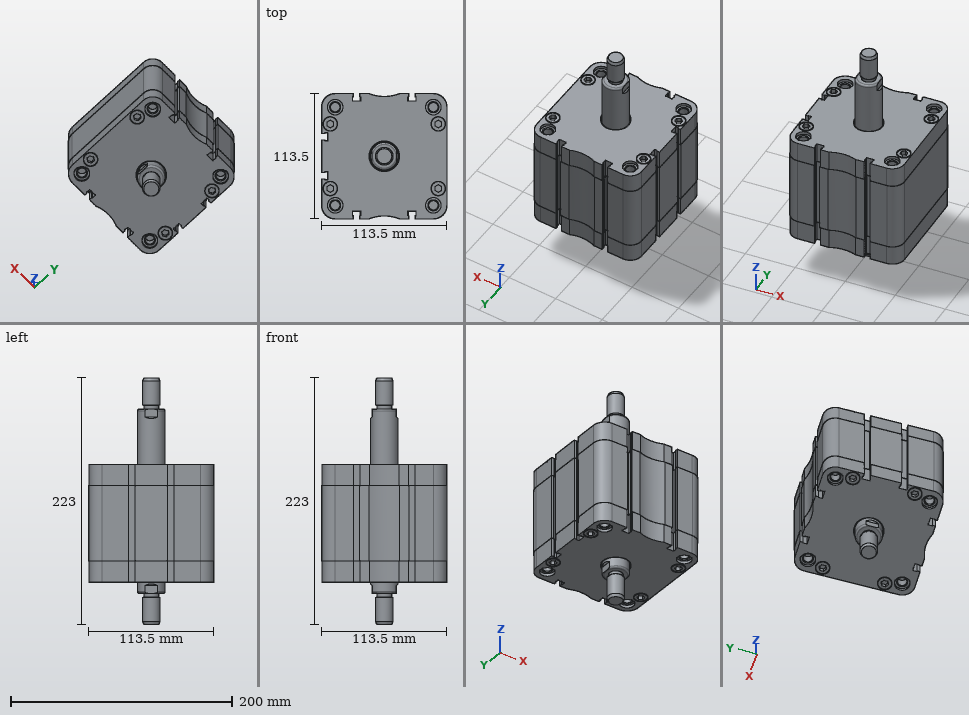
import cadquery as cq
import math


barrel_side = 113.5
cover_side = 113.0
corner_radius = 12.0
cover_height = 19.5
barrel_height = 68.0
housing_height = barrel_height + 2 * cover_height

slot_lip = 3.0
slot_undercut = 0.7
y_side_slot_far = 27.9
y_side_slot_near = 21.9
y_side_slot_floor = 49.7
x_side_slot_far = 20.5
x_side_slot_near = 14.5
x_side_slot_floor = 50.8
barrel_y_slot_inset = 0.7
barrel_x_slot_inset = 0.2
barrel_floor_step = 0.5

hollow_depth = 2.7
cover_hollow_width = 26.3
barrel_hollow_width = 27.7

mount_offset = 44.4
mount_bore_diameter = 14.0
mount_bore_depth = 3.0
mount_mouth_diameter = 10.0
mount_thread_diameter = 8.5
mount_thread_depth = 10.0
mount_mouth_depth = (mount_mouth_diameter - mount_thread_diameter) / 2

screw_x = 48.8
screw_y = 29.2
screw_ring_outer_diameter = 13.2
screw_ring_inner_diameter = 12.5
screw_ring_depth = 0.7
socket_width = 6.0
socket_depth = 4.0

passage_diameter = 25.6
recess_diameter = 27.0
recess_depth = 1.5
recess_mouth_diameter = 27.7
recess_mouth_depth = 0.5

rod_diameter = 25.0
upper_reach = 50.0
stud_length = 28.0
overall_length = 223
lower_reach = overall_length - housing_height - upper_reach - 2 * stud_length
shoulder_radius = 1.8
stud_diameter = 16.0
stud_core_diameter = 13.5
stud_tip_length = 3.0
neck_length = 3.8
neck_taper = 0.7
wrench_width = 22.0
wrench_length = 7.1


def four_places(x, y):
    return [(x, y), (-x, y), (-x, -y), (x, -y)]


def disc(diameter, height):
    return cq.Workplane("XY").circle(diameter / 2).extrude(height)


def t_slot(near, far, floor, side, height):
    """Cutter for a slot in the +Y side, its opening lying between x = near and x = far."""
    outer = side / 2
    shoulder = outer - slot_lip
    wide_near = near - slot_undercut
    wide_far = far + slot_undercut
    return (
        cq.Workplane("XY")
        .polyline([
            (near, outer), (near, shoulder), (wide_near, shoulder), (wide_near, floor),
            (wide_far, floor), (wide_far, shoulder), (far, shoulder), (far, outer),
        ])
        .close()
        .extrude(height)
    )


def hollow(width, side, height):
    """Cutter for the shallow hollow in the +Y side."""
    return (
        cq.Workplane("XY")
        .moveTo(-width / 2, side / 2)
        .threePointArc((0, side / 2 - hollow_depth), (width / 2, side / 2))
        .close()
        .extrude(height)
    )


def profile_block(side, height, hollow_width, y_slot_inset=0, x_slot_inset=0, floor_step=0):
    """Rounded block with the slots and hollows along its whole height."""
    block = cq.Workplane("XY").rect(side, side).extrude(height).edges("|Z").fillet(corner_radius)

    y_slot = t_slot(
        y_side_slot_near + y_slot_inset, y_side_slot_far, y_side_slot_floor + floor_step, side, height
    )
    front_and_back = y_slot.union(y_slot.mirror("YZ")).union(hollow(hollow_width, side, height))
    block = block.cut(front_and_back).cut(front_and_back.mirror("XZ"))

    x_slot = t_slot(
        x_side_slot_near + x_slot_inset, x_side_slot_far, x_side_slot_floor + floor_step, side, height
    ).rotate((0, 0, 0), (0, 0, 1), 90)
    return block.cut(x_slot).cut(x_slot.mirror("XZ"))


def make_barrel():
    """Barrel with its lower face on z = 0."""
    barrel = profile_block(
        barrel_side, barrel_height, barrel_hollow_width,
        barrel_y_slot_inset, barrel_x_slot_inset, barrel_floor_step,
    )
    return barrel.cut(disc(rod_diameter, barrel_height))


def rod_passage():
    """Cutter for the rod's way through a cover whose outer face is z = 0."""
    mouth = cq.Workplane(
        cq.Solid.makeCone(
            recess_mouth_diameter / 2, recess_diameter / 2, recess_mouth_depth, dir=cq.Vector(0, 0, -1)
        )
    )
    return disc(passage_diameter, -cover_height).union(disc(recess_diameter, -recess_depth)).union(mouth)


def mounting_hole():
    """Cutter for a counterbored, chamfered thread hole below z = 0."""
    bore = disc(mount_bore_diameter, -mount_bore_depth)
    mouth = cq.Workplane(
        cq.Solid.makeCone(
            mount_mouth_diameter / 2, mount_thread_diameter / 2, mount_mouth_depth,
            pnt=cq.Vector(0, 0, -mount_bore_depth), dir=cq.Vector(0, 0, -1),
        )
    )
    thread = disc(mount_thread_diameter, -mount_bore_depth - mount_thread_depth)
    return bore.union(mouth).union(thread)


def screw_head_outline():
    """Cutter for the ring groove and hexagon socket of a screw head flush with z = 0."""
    ring = disc(screw_ring_outer_diameter, -screw_ring_depth).cut(
        disc(screw_ring_inner_diameter, -screw_ring_depth)
    )
    hexagon_diameter = socket_width / math.cos(math.pi / 6)
    socket = cq.Workplane("XY").polygon(6, hexagon_diameter).extrude(-socket_depth)
    socket = socket.rotate((0, 0, 0), (0, 0, 1), 30)
    return ring.union(socket)


def make_cover():
    """Cover with its outer face on z = 0 and its body below."""
    cover = profile_block(cover_side, cover_height, cover_hollow_width).translate((0, 0, -cover_height))
    cover = cover.cut(rod_passage())
    mount = mounting_hole()
    for x, y in four_places(mount_offset, mount_offset):
        cover = cover.cut(mount.translate((x, y, 0)))
    screw = screw_head_outline()
    for x, y in four_places(screw_x, screw_y):
        cover = cover.cut(screw.translate((x, y, 0)))
    return cover


def rod_end(shoulder):
    """Rod from z = 0 up to its shoulder, with wrench flats, neck and stud."""
    rod_radius = rod_diameter / 2
    core_radius = stud_core_diameter / 2
    stud_radius = stud_diameter / 2
    stud_start = shoulder + neck_length
    tip = shoulder + stud_length
    shaft = disc(rod_diameter, shoulder).faces(">Z").edges().fillet(shoulder_radius)
    stud = (
        cq.Workplane("XZ")
        .polyline([
            (0, shoulder), (core_radius, shoulder), (core_radius, stud_start - neck_taper),
            (stud_radius, stud_start), (stud_radius, tip - stud_tip_length),
            (core_radius, tip), (0, tip),
        ])
        .close()
        .revolve(360, (0, 0, 0), (0, 1, 0))
    )
    flat_x = wrench_width / 2
    flat_end = shoulder - wrench_length
    flat = (
        cq.Workplane("XZ")
        .polyline([
            (flat_x, shoulder), (flat_x, flat_end), (rod_radius, flat_end - (rod_radius - flat_x)),
            (rod_radius, shoulder),
        ])
        .close()
        .extrude(rod_radius, both=True)
    )
    return shaft.cut(flat).cut(flat.mirror("YZ")).union(stud)


def make_rod():
    """Through rod, built outwards in both directions from the middle of the housing."""
    middle = housing_height / 2
    upper_end = rod_end(middle + upper_reach)
    lower_end = rod_end(middle + lower_reach).mirror("XY")
    return upper_end.union(lower_end).translate((0, 0, middle))


barrel = make_barrel().translate((0, 0, cover_height))
upper_cover = make_cover().translate((0, 0, housing_height))
lower_cover = make_cover().mirror("XY")
piston_rod = make_rod()

result = cq.Compound.makeCompound([
    barrel.solids().val(),
    upper_cover.solids().val(),
    lower_cover.solids().val(),
    piston_rod.solids().val(),
])